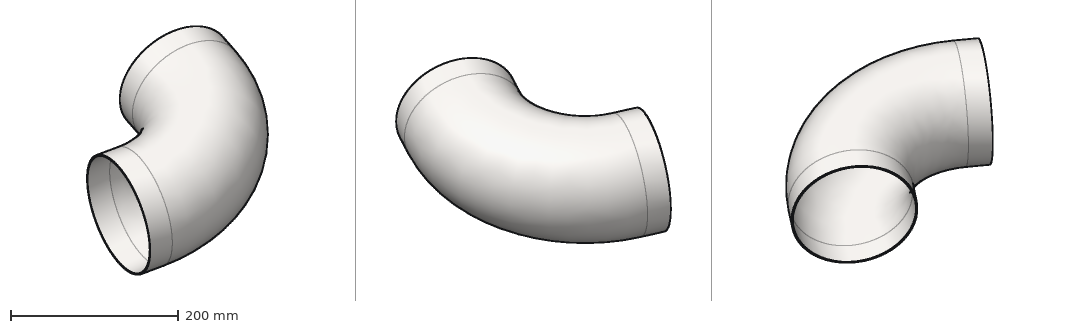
import cadquery as cq
import math

overall_length = 258.5
outer_diameter = 152.3
inner_diameter = 148.5
collar_length = 30.0

bend_radius = overall_length - outer_diameter / 2 - collar_length
axis_offset = collar_length + bend_radius


def elbow_centreline():
    """Straight along +X, quarter turn, then straight along -Y."""
    bend_middle = collar_length + bend_radius * math.sqrt(0.5)
    return (
        cq.Workplane("XY")
        .moveTo(0, axis_offset)
        .lineTo(collar_length, axis_offset)
        .threePointArc((bend_middle, bend_middle), (axis_offset, collar_length))
        .lineTo(axis_offset, 0)
    )


result = (
    cq.Workplane("YZ", origin=(0, axis_offset, 0))
    .circle(outer_diameter / 2)
    .circle(inner_diameter / 2)
    .sweep(elbow_centreline())
)